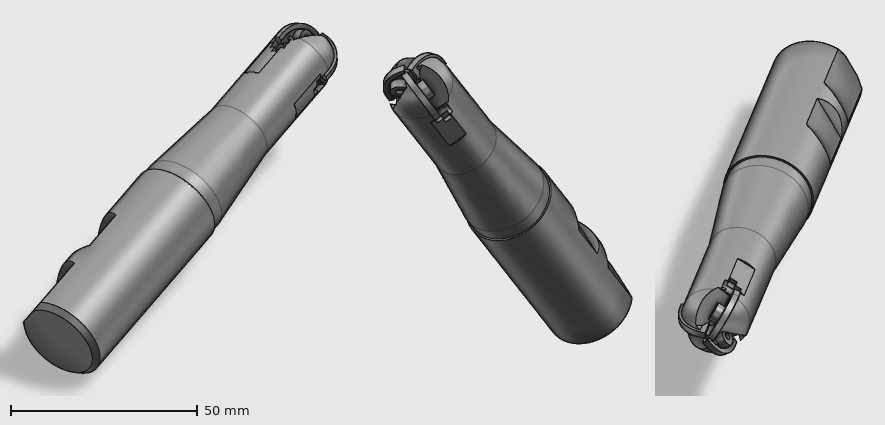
import cadquery as cq
import math

AXIS_AZIMUTH = 128.2
AXIS_ELEVATION = 9.4
FLAT_ROLL = 31.0

SHANK_DIAMETER = 25.0
SHANK_LENGTH = 57.0
END_CHAMFER = 1.5

COLLAR_DIAMETER = 24.0
COLLAR_LENGTH = 4.1
NECK_DIAMETER = 18.7
NECK_START = 87.1
BALL_CENTRE = 116.9

FLAT_DISTANCE = 10.4
END_FLAT_LENGTH = 17.7
MIDDLE_FLAT_START = 25.4
MIDDLE_FLAT_LENGTH = 12.4

INSERT_COUNT = 3
FIRST_INSERT_ROLL = 64.0
CUTTING_RADIUS = 10.0
INSERT_THICKNESS = 1.8
INSERT_TAIL = 2.2
TIP_OFFSET = 0.5
CHORD_ANGLE = 41.0
CHORD_DISTANCE = 3.2
LAND_WIDTH = 1.4
GROOVE_DEPTH = 0.3

SCREW_DISTANCE = 5.8
SCREW_DIAMETER = 3.0
SCREW_LENGTH = 3.8
HEAD_DIAMETER = 5.2
HEAD_RISE = 2.2
SOCKET_DIAMETER = 2.0
SOCKET_DEPTH = 1.1

GULLET_LENGTH_BACK = 6.4
GULLET_WIDTH = 6.5
GULLET_SLOPE = 0.6
TAIL_FLOOR = 7.8
TAIL_WIDTH = 2.2
TAIL_END = 6.7

RELIEF_DIAMETER = 3.5
RELIEF_RADIAL = 8.8
RELIEF_AXIAL = 3.2
RELIEF_FRONT = 3.2
NECK_FLAT_DISTANCE = 8.9
NECK_FLAT_END = 15.8
NECK_FLAT_LAG = 2.5

SHANK_RADIUS = SHANK_DIAMETER / 2
NECK_RADIUS = NECK_DIAMETER / 2
CLEARANCE = 1.1
REACH = SHANK_DIAMETER

CHORD_COS = math.cos(math.radians(CHORD_ANGLE))
CHORD_SIN = math.sin(math.radians(CHORD_ANGLE))



def turned_blank():
    collar_radius = COLLAR_DIAMETER / 2
    diagonal = NECK_RADIUS * math.sqrt(0.5)
    return (
        cq.Workplane("XZ")
        .lineTo(SHANK_RADIUS - END_CHAMFER, 0)
        .lineTo(SHANK_RADIUS, END_CHAMFER)
        .lineTo(SHANK_RADIUS, SHANK_LENGTH)
        .lineTo(collar_radius, SHANK_LENGTH)
        .lineTo(collar_radius, SHANK_LENGTH + COLLAR_LENGTH)
        .lineTo(NECK_RADIUS, NECK_START)
        .lineTo(NECK_RADIUS, BALL_CENTRE)
        .threePointArc((diagonal, BALL_CENTRE + diagonal), (0, BALL_CENTRE + NECK_RADIUS))
        .close()
        .revolve(360, (0, 0, 0), (0, 1, 0))
    )


def clamping_flat(start, end):
    rise = SHANK_RADIUS - FLAT_DISTANCE + CLEARANCE
    outline = [
        (FLAT_DISTANCE, start),
        (FLAT_DISTANCE, end),
        (FLAT_DISTANCE + rise, end + rise),
        (FLAT_DISTANCE + rise, start - rise),
    ]
    return cq.Workplane("XZ").polyline(outline).close().extrude(REACH, both=True)



def station_plane(height):
    return cq.Workplane("XZ", origin=(0, height, BALL_CENTRE))


def chord_point(distance, radial):
    """Point at a radial place on the line that lies this far from the ball centre, along the inner edge."""
    return radial, (distance - radial * CHORD_COS) / CHORD_SIN


def insert_plate(radius, thickness):
    tip = math.sqrt(radius**2 - TIP_OFFSET**2)
    diagonal = radius * math.sqrt(0.5)
    tail_inner = (CHORD_DISTANCE + INSERT_TAIL * CHORD_SIN) / CHORD_COS
    return (
        station_plane(0)
        .moveTo(tail_inner, -INSERT_TAIL)
        .lineTo(radius, -INSERT_TAIL)
        .lineTo(radius, 0)
        .threePointArc((diagonal, diagonal), (TIP_OFFSET, tip))
        .lineTo(*chord_point(CHORD_DISTANCE, TIP_OFFSET))
        .close()
        .extrude(thickness)
    )


def screw_cylinder(diameter, top, bottom):
    return (
        station_plane(top)
        .center(SCREW_DISTANCE * CHORD_COS, SCREW_DISTANCE * CHORD_SIN)
        .circle(diameter / 2)
        .extrude(top - bottom)
    )


def screw_blank():
    head = screw_cylinder(HEAD_DIAMETER, HEAD_RISE, -GROOVE_DEPTH)
    return head.union(screw_cylinder(SCREW_DIAMETER, -GROOVE_DEPTH, -SCREW_LENGTH))


def make_screw():
    return screw_blank().cut(screw_cylinder(SOCKET_DIAMETER, HEAD_RISE, HEAD_RISE - SOCKET_DEPTH))


def make_insert():
    groove = insert_plate(CUTTING_RADIUS - LAND_WIDTH, GROOVE_DEPTH)
    return insert_plate(CUTTING_RADIUS, INSERT_THICKNESS).cut(groove).cut(screw_blank())


def insert_seat():
    return insert_plate(CUTTING_RADIUS, INSERT_THICKNESS).union(screw_blank())


def gullet():
    foot = (CHORD_DISTANCE * CHORD_COS, 0, BALL_CENTRE + CHORD_DISTANCE * CHORD_SIN)
    across = cq.Plane(foot, xDir=(CHORD_COS, 0, CHORD_SIN), normal=(-CHORD_SIN, 0, CHORD_COS))
    outline = [
        (0, 0),
        (REACH, 0),
        (REACH, GULLET_WIDTH),
        (GULLET_SLOPE * GULLET_WIDTH, GULLET_WIDTH),
    ]
    wedge = (
        cq.Workplane(across)
        .workplane(offset=-GULLET_LENGTH_BACK)
        .polyline(outline)
        .close()
        .extrude(REACH)
    )
    outside_axis = station_plane(0).center(TIP_OFFSET + REACH / 2, 0).rect(REACH, 2 * REACH).extrude(-REACH)
    return wedge.intersect(outside_axis)


def gullet_tail():
    return (
        station_plane(0)
        .moveTo(TAIL_FLOOR, -TAIL_END)
        .lineTo(REACH, -TAIL_END)
        .lineTo(REACH, 0)
        .lineTo(TAIL_FLOOR, 0)
        .close()
        .extrude(-TAIL_WIDTH)
    )


def corner_relief():
    return (
        station_plane(RELIEF_FRONT)
        .center(RELIEF_RADIAL, -RELIEF_AXIAL)
        .circle(RELIEF_DIAMETER / 2)
        .extrude(RELIEF_FRONT + INSERT_THICKNESS)
    )


def neck_flat():
    return (
        cq.Workplane("XY", origin=(NECK_FLAT_DISTANCE + NECK_RADIUS, 0, BALL_CENTRE - NECK_FLAT_END))
        .rect(NECK_DIAMETER, NECK_DIAMETER)
        .extrude(NECK_FLAT_END - RELIEF_AXIAL)
        .rotate((0, 0, 0), (0, 0, 1), -NECK_FLAT_LAG)
    )



def turned_to(shape, number):
    roll = FIRST_INSERT_ROLL - FLAT_ROLL + number * 360 / INSERT_COUNT
    return shape.rotate((0, 0, 0), (0, 0, 1), roll)


def make_body():
    body = turned_blank()
    body = body.cut(clamping_flat(-REACH, END_FLAT_LENGTH))
    body = body.cut(clamping_flat(MIDDLE_FLAT_START, MIDDLE_FLAT_START + MIDDLE_FLAT_LENGTH))
    for number in range(INSERT_COUNT):
        for cutter in (gullet(), gullet_tail(), insert_seat(), corner_relief(), neck_flat()):
            body = body.cut(turned_to(cutter, number))
    return body


def tool_location():
    azimuth = math.radians(AXIS_AZIMUTH)
    elevation = math.radians(AXIS_ELEVATION)
    roll = math.radians(FLAT_ROLL)
    axis = cq.Vector(
        math.cos(elevation) * math.cos(azimuth),
        math.cos(elevation) * math.sin(azimuth),
        math.sin(elevation),
    )
    level = cq.Vector(-math.sin(azimuth), math.cos(azimuth), 0)
    flat_normal = level * math.cos(roll) + axis.cross(level) * math.sin(roll)
    return cq.Location(cq.Plane((0, 0, 0), xDir=flat_normal, normal=axis))


body = make_body()
inserts = [turned_to(make_insert(), number) for number in range(INSERT_COUNT)]
screws = [turned_to(make_screw(), number) for number in range(INSERT_COUNT)]
placement = tool_location()
result = cq.Compound.makeCompound(
    [part.val().moved(placement) for part in [body, *inserts, *screws]]
)